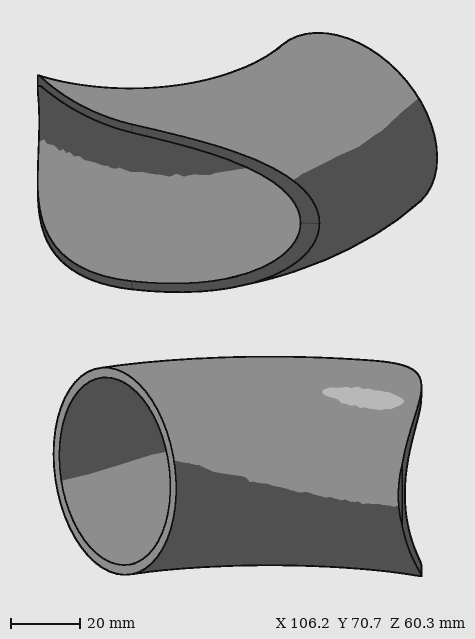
import cadquery as cq
import math

length_x = 106.2
pipe_diameter = 60.3
wall = 2.9
margin = 5.3

outer_radius = pipe_diameter / 2
inner_radius = outer_radius - wall
bend_radius = length_x - outer_radius
trim_arc_radius = bend_radius / 2
joint_x = 46.1


def bent_rod(radius):
    """Solid quarter torus from the +X axis round to the -Y axis."""
    return (
        cq.Workplane("XZ")
        .center(bend_radius, 0)
        .circle(radius)
        .revolve(90, (-bend_radius, 0), (-bend_radius, -1))
    )


def parabola_y(x):
    """Y of the trim parabola, whose focus is on the bend axis."""
    return -bend_radius + x**2 / (4 * bend_radius)


def parabola_slope(x):
    """Slope dY/dX of the trim parabola."""
    return x / (2 * bend_radius)


def kept_region():
    """Block over the part, bounded below by a parabola and a tangent arc."""
    joint_y = parabola_y(joint_x)
    far_x = length_x + margin
    far_y = parabola_y(far_x)

    control_x = (joint_x + far_x) / 2
    control_y = joint_y + parabola_slope(joint_x) * (control_x - joint_x)

    joint_angle = math.atan(parabola_slope(joint_x))
    arc_x = joint_x - trim_arc_radius * math.sin(joint_angle)
    arc_y = joint_y + trim_arc_radius * math.cos(joint_angle)
    arc_left = arc_x - trim_arc_radius
    arc_bottom = arc_y - trim_arc_radius

    return (
        cq.Workplane("XY")
        .moveTo(arc_left, arc_y)
        .threePointArc((arc_x, arc_bottom), (joint_x, joint_y))
        .bezier([(joint_x, joint_y), (control_x, control_y), (far_x, far_y)])
        .lineTo(far_x, margin)
        .lineTo(arc_left, margin)
        .close()
        .extrude(outer_radius + margin, both=True)
    )


elbow = bent_rod(outer_radius).cut(bent_rod(inner_radius))
result = elbow.intersect(kept_region())